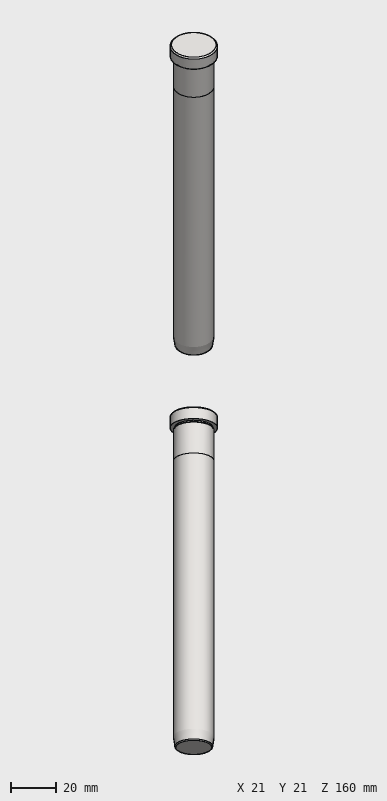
import cadquery as cq

total_length = 160.0
head_diameter = 21.0
head_height = 6.0
head_chamfer = 0.6
shank_diameter = 18.0
collar_length = 16.0
groove_width = 1.1
groove_slope_height = 0.5
groove_depth = 0.5
tip_diameter = 16.8
tip_chamfer = 0.5
tip_length = 5.0

head_radius = head_diameter / 2
shank_radius = shank_diameter / 2
groove_radius = shank_radius - groove_depth
tip_radius = tip_diameter / 2
head_base = total_length - head_height
joint_height = head_base - collar_length


def make_head():
    """Chamfered head with an undercut groove and the short collar below it."""
    profile = (
        cq.Workplane("XZ")
        .moveTo(0, joint_height)
        .lineTo(shank_radius, joint_height)
        .lineTo(shank_radius, head_base - groove_width)
        .lineTo(groove_radius, head_base - groove_width + groove_slope_height)
        .lineTo(groove_radius, head_base)
        .lineTo(head_radius, head_base)
        .lineTo(head_radius, total_length - head_chamfer)
        .lineTo(head_radius - head_chamfer, total_length)
        .lineTo(0, total_length)
        .close()
    )
    return profile.revolve(360, (0, 0), (0, 1))


def make_shaft():
    """Long cylindrical shaft with a tapered lead-in and a chamfered end."""
    profile = (
        cq.Workplane("XZ")
        .lineTo(tip_radius - tip_chamfer, 0)
        .lineTo(tip_radius, tip_chamfer)
        .lineTo(shank_radius, tip_length)
        .lineTo(shank_radius, joint_height)
        .lineTo(0, joint_height)
        .close()
    )
    return profile.revolve(360, (0, 0), (0, 1))


head = make_head()
shaft = make_shaft()

result = cq.Compound.makeCompound([head.val(), shaft.val()])